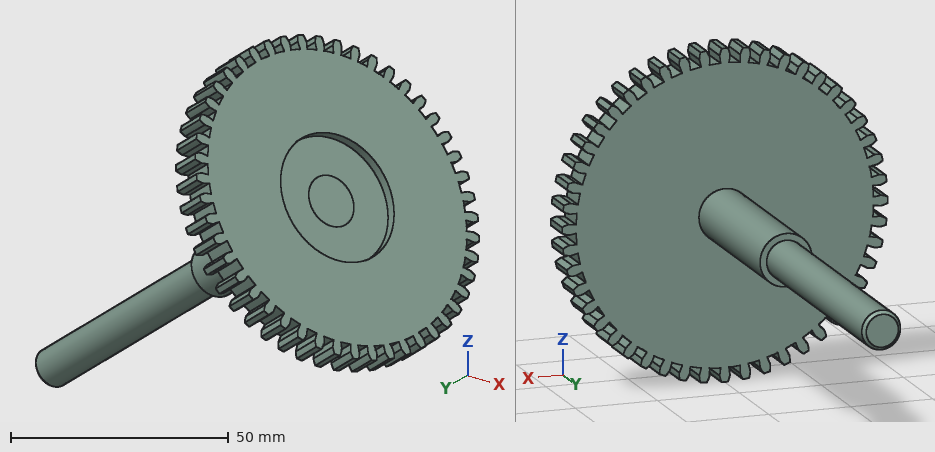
import cadquery as cq
import math

tooth_count = 48
gear_thickness = 7.8
tip_radius = 39.7
shoulder_radius = 38.1
root_radius = 36.3
root_tooth_width = 2.1
shoulder_tooth_width = 2.5
tip_tooth_width = 1.5
flank_bulge = 0.06
recess_radius = 15.9
recess_depth = 2.4

overall_length = 115.1
journal_radius = 6.3
journal_end = 49.5
spindle_radius = 4.7
end_chamfer = 0.8


def point_on_circle(radius, offset):
    """Point of a circle at a sideways offset from the tooth centre line."""
    return (offset, math.sqrt(radius**2 - offset**2))


def turned_disc(radius, start, end):
    """Solid cylinder about the Y axis between two Y positions."""
    return cq.Workplane("XZ", origin=(0, start, 0)).circle(radius).extrude(start - end)


def make_tooth():
    """One gear tooth, rooted below the root circle so that it merges with the gear disc."""
    root_half = root_tooth_width / 2
    embedded_radius = root_radius - root_half
    shoulder_half = shoulder_tooth_width / 2
    tip_half = tip_tooth_width / 2
    mid_radius = (shoulder_radius + tip_radius) / 2
    mid_half = (shoulder_half + tip_half) / 2 + flank_bulge
    return (
        cq.Workplane("XZ")
        .moveTo(-root_half, embedded_radius)
        .lineTo(*point_on_circle(root_radius, -root_half))
        .lineTo(*point_on_circle(shoulder_radius, -shoulder_half))
        .threePointArc(point_on_circle(mid_radius, -mid_half), point_on_circle(tip_radius, -tip_half))
        .threePointArc((0, tip_radius), point_on_circle(tip_radius, tip_half))
        .threePointArc(point_on_circle(mid_radius, mid_half), point_on_circle(shoulder_radius, shoulder_half))
        .lineTo(*point_on_circle(root_radius, root_half))
        .lineTo(root_half, embedded_radius)
        .close()
        .extrude(-gear_thickness)
    )


def make_gear():
    """Toothed disc with a round recess in its front face and a bore for the shaft."""
    gear = turned_disc(root_radius, 0, gear_thickness)
    tooth = make_tooth()
    tooth_pitch = 360 / tooth_count
    for index in range(tooth_count):
        gear = gear.union(tooth.rotate((0, 0, 0), (0, 1, 0), index * tooth_pitch))
    recess = turned_disc(recess_radius, 0, recess_depth)
    bore = turned_disc(journal_radius, 0, gear_thickness)
    return gear.cut(recess).cut(bore)


def make_shaft():
    """Stepped shaft: a thick journal carried by the gear and a thinner spindle with a chamfered end."""
    journal = turned_disc(journal_radius, recess_depth, journal_end)
    spindle = turned_disc(spindle_radius, journal_end, overall_length).faces(">Y").chamfer(end_chamfer)
    return journal.union(spindle)


gear = make_gear()
shaft = make_shaft()
result = cq.Compound.makeCompound([gear.val(), shaft.val()])